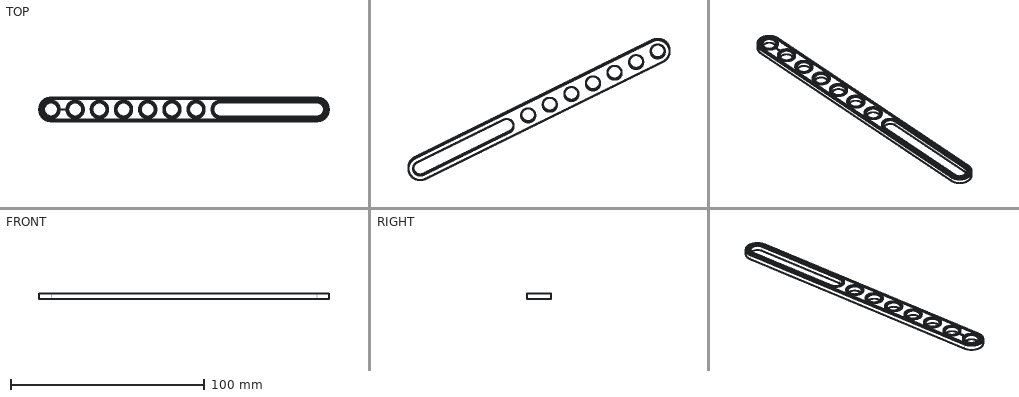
import cadquery as cq

grid = 12.5
cell_count = 12
round_hole_count = 7
thickness = grid / 4
edge_chamfer = 0.3
hole_diameter = 7.0
hole_rim_diameter = 9.2
rib_width = 0.25
recess_depth = 0.2

rim_width = (hole_rim_diameter - hole_diameter) / 2
recess_floor_z = thickness - recess_depth

first_center_x = -(cell_count - 1) * grid / 2
last_center_x = -first_center_x
slot_start_x = first_center_x + round_hole_count * grid
hole_centers_x = [first_center_x + index * grid for index in range(round_hole_count)]


def rounded_bar(start_x, end_x, width, bottom_z, top_z):
    """Upright prism with semicircular ends centred on start_x and end_x."""
    return (
        cq.Workplane("XY", origin=((start_x + end_x) / 2, 0, bottom_z))
        .slot2D(end_x - start_x + width, width)
        .extrude(top_z - bottom_z)
    )


def cylinder(center_x, diameter, bottom_z, top_z):
    """Upright cylinder on the bar's centre line."""
    return (
        cq.Workplane("XY", origin=(center_x, 0, bottom_z))
        .circle(diameter / 2)
        .extrude(top_z - bottom_z)
    )


def make_perforated_bar():
    """Bar with its holes and slot, every rim broken by the same chamfer on both faces."""
    bar = rounded_bar(first_center_x, last_center_x, grid, 0, thickness)
    bar = bar.cut(rounded_bar(slot_start_x, last_center_x, hole_diameter, 0, thickness))
    for center_x in hole_centers_x:
        bar = bar.cut(cylinder(center_x, hole_diameter, 0, thickness))
    return bar.faces("|Z").edges().chamfer(edge_chamfer)


def make_rib():
    """Thin rib between the centres of the first two holes, joining their rims across the recess."""
    return (
        cq.Workplane("XY", origin=(first_center_x + grid / 2, 0, recess_floor_z))
        .rect(grid, rib_width)
        .extrude(recess_depth)
    )


def make_recess():
    """Shallow top recess that leaves a raised rim around the outline, each hole and the slot."""
    recess_width = grid - 2 * rim_width
    recess = rounded_bar(first_center_x, last_center_x, recess_width, recess_floor_z, thickness)
    recess = recess.cut(
        rounded_bar(slot_start_x, last_center_x, hole_rim_diameter, recess_floor_z, thickness)
    )
    for center_x in hole_centers_x:
        recess = recess.cut(cylinder(center_x, hole_rim_diameter, recess_floor_z, thickness))
    return recess.cut(make_rib())


result = make_perforated_bar().cut(make_recess())